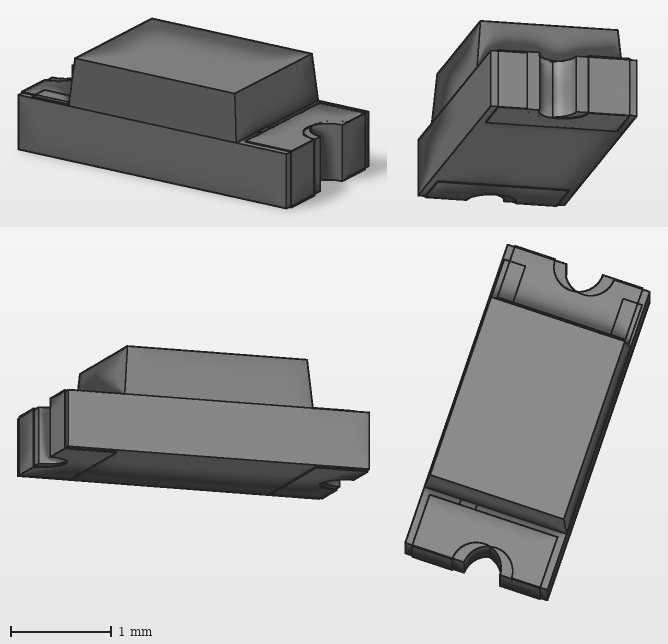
import cadquery as cq

overall_length = 3.22
overall_height = 1.09
plating = 0.01

board_length = overall_length - 2 * plating
board_width = 1.5
board_height = 0.58

lens_length = 2.0
lens_width = board_width
lens_height = overall_height - plating - board_height
lens_inset = 0.045

terminal_length = 0.55
terminal_width = 1.35
terminal_inner_x = overall_length / 2 - terminal_length

notch_radius = 0.25
notch_center_x = overall_length / 2
board_notch_y = 0.122

tab_thickness = 0.008
tab_width = 0.167
left_tab_y = 0.332
right_tab_y = -0.277

mark_start_x = -1.445
mark_thickness = 0.0113
back_mark_width = 0.2
back_mark_y = 0.62
front_mark_width = 0.222
front_mark_y = -0.62


def box(x_min, x_max, center_y, width, z_min, z_max):
    """A block between two X planes and two Z planes, centred on center_y."""
    return (
        cq.Workplane("XY", origin=((x_min + x_max) / 2, center_y, z_min))
        .rect(x_max - x_min, width)
        .extrude(z_max - z_min)
    )


def notch_cutter(side, center_y):
    """An upright cylinder through the whole thickness at one end; side is -1 or 1."""
    return (
        cq.Workplane("XY", origin=(side * notch_center_x, center_y, -plating))
        .circle(notch_radius)
        .extrude(board_height + 2 * plating)
    )


def make_board():
    board = box(-board_length / 2, board_length / 2, 0, board_width, 0, board_height)
    for side in (-1, 1):
        board = board.cut(notch_cutter(side, board_notch_y))
    return board


def make_lens():
    return (
        cq.Workplane("XY", origin=(0, 0, board_height))
        .rect(lens_length, lens_width)
        .workplane(offset=lens_height)
        .rect(lens_length - 2 * lens_inset, lens_width - 2 * lens_inset)
        .loft(ruled=True)
    )


def make_terminal(side, tab_y, board):
    """A cap around one end that fills the board's notch outside its own notch."""
    inner_x, outer_x = sorted((side * terminal_inner_x, side * overall_length / 2))
    cap = box(inner_x, outer_x, 0, terminal_width, -plating, board_height + plating)
    cap = cap.cut(board).cut(notch_cutter(side, 0))

    tab_start, tab_end = sorted((side * lens_length / 2, side * terminal_inner_x))
    tab = box(tab_start, tab_end, tab_y, tab_width, board_height, board_height + tab_thickness)
    return cap.union(tab)


def make_mark(center_y, width, terminal):
    """A flat-topped strip up to the foot of the lens, fitted over the terminal."""
    strip = box(
        mark_start_x, -lens_length / 2, center_y, width, board_height, board_height + mark_thickness
    )
    return strip.cut(terminal)


board = make_board()
lens = make_lens()
left_terminal = make_terminal(-1, left_tab_y, board)
right_terminal = make_terminal(1, right_tab_y, board)
marks = [
    make_mark(center_y, width, left_terminal)
    for center_y, width in ((back_mark_y, back_mark_width), (front_mark_y, front_mark_width))
]

result = cq.Compound.makeCompound(
    [board.val(), lens.val(), left_terminal.val(), right_terminal.val()]
    + [mark.val() for mark in marks]
)